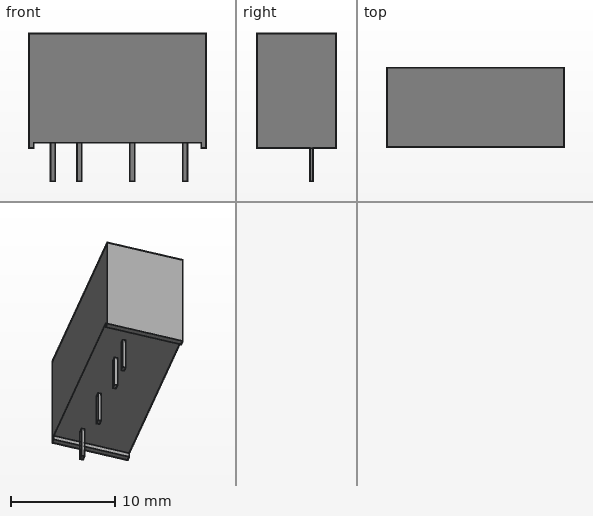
import cadquery as cq

case_length = 17.0
case_width = 7.62
total_height = 14.2
pin_drop = 3.2
case_height = total_height - pin_drop

foot_length = 0.5
foot_height = 0.5

pin_width = 0.5
pin_thickness = 0.3
pin_pitch = 2.53
first_pin_x = -6.19
pin_row_y = 1.43
pin_steps = (0, 1, 3, 5)


def make_case():
    """Plain block with a full-width recess underneath, leaving a foot at each end."""
    block = cq.Workplane("XY").box(
        case_length, case_width, case_height, centered=(True, True, False)
    )
    recess = cq.Workplane("XY").box(
        case_length - 2 * foot_length, case_width, foot_height, centered=(True, True, False)
    )
    return block.cut(recess)


def make_pins():
    """Row of rectangular pins from the recessed underside down past the feet."""
    centers = [(first_pin_x + step * pin_pitch, pin_row_y) for step in pin_steps]
    return (
        cq.Workplane("XY")
        .workplane(offset=-pin_drop)
        .pushPoints(centers)
        .rect(pin_width, pin_thickness)
        .extrude(pin_drop + foot_height)
    )


result = make_case().union(make_pins())